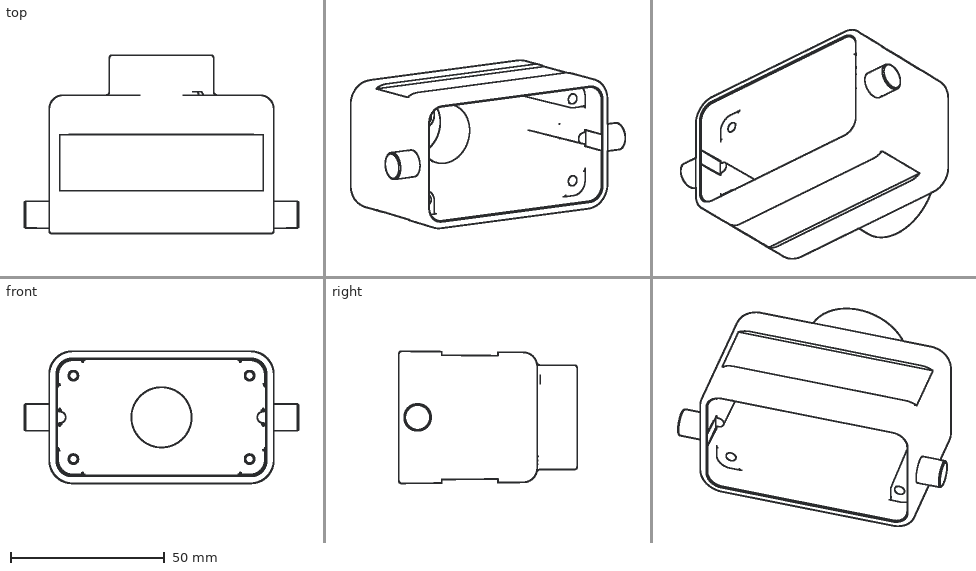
import cadquery as cq
import math



body_width = 73.0
body_height = 43.0
body_depth = 45.0
corner_radius = 7.5
body_draft = 0.5
back_edge_radius = 4.6
rim_outer_radius = 1.0

total_depth = 58.0
entry_radius = 17.0
entry_bore_radius = 9.75
entry_tip_radius = 1.0
entry_root_fillet = 1.0

pin_span = 89.0
pin_radius = 4.4
pin_depth = 6.15
pin_tip_chamfer = 0.4

label_width = 66.0
label_start = 14.0
label_end = 32.2
label_recess = 1.2

mouth_wall = 2.65
mouth_edge_chamfer = 0.35
ledge_depth = 9.3
ledge_wall = 3.0
floor_depth = 41.0
floor_wall = 3.55
floor_fillet = 0.9
inner_corner_fillet = 0.6

pick_margin = 1.0

pillar_inset = 11.0
pillar_corner_radius = 3.6
pillar_draft = 1.2
pillar_top_fillet = 0.5
screw_spacing_x = 57.2
screw_spacing_z = 27.1
screw_mouth_radius = 1.65
screw_end_radius = 1.3
screw_hole_depth = 12.0

rib_radius = 1.8
rib_center_inset = 3.6
rib_draft = 1.0
groove_width = 5.4
groove_wall = 2.6
rib_start = 9.5


def section_plane(depth):
    """Plane across the hood at the given depth, facing the cable entry."""
    return cq.Workplane(cq.Plane(origin=(0, depth, 0), xDir=(1, 0, 0), normal=(0, 1, 0)))


def rounded_prism(inset, start, end, taper):
    """Tapered block whose section follows the mouth outline moved inwards by inset."""
    outline = cq.Sketch().rect(body_width - 2 * inset, body_height - 2 * inset)
    outline = outline.vertices().fillet(corner_radius - inset)
    return section_plane(start).placeSketch(outline).extrude(end - start, taper=taper)


def wall_taper(start_wall, end_wall, length):
    return math.degrees(math.atan2(end_wall - start_wall, length))


def make_shell():
    back_height = body_height - 2 * body_depth * math.tan(math.radians(body_draft))
    front_outline = cq.Sketch().rect(body_width, body_height).vertices().fillet(corner_radius)
    back_outline = cq.Sketch().rect(body_width, back_height).vertices().fillet(corner_radius)
    back_outline = back_outline.moved(cq.Location(cq.Vector(0, 0, body_depth)))
    body = section_plane(0).placeSketch(front_outline, back_outline).loft()
    body = body.faces(">Y").edges().fillet(back_edge_radius)
    return body.faces("<Y").edges().fillet(rim_outer_radius)


def add_entry(shell):
    """Round cable entry, filleted where it meets the back of the hood."""
    entry = section_plane(floor_depth).circle(entry_radius).extrude(total_depth - floor_depth)
    entry = entry.faces(">Y").edges().fillet(entry_tip_radius)
    hood = shell.union(entry)
    reach = entry_radius + pick_margin
    low = (-reach, body_depth - pick_margin, -reach)
    high = (reach, body_depth + pick_margin, reach)
    root = cq.selectors.BoxSelector(low, high, boundingbox=True)
    return hood.edges(root).fillet(entry_root_fillet)


def make_pins():
    pins = cq.Workplane("YZ", origin=(-pin_span / 2, 0, 0)).center(pin_depth, 0)
    pins = pins.circle(pin_radius).extrude(pin_span)
    return pins.faces("<X or >X").edges().chamfer(pin_tip_chamfer)


def make_label_recess(side):
    """Shallow pocket whose floor is parallel to the drafted face."""
    length = label_end - label_start
    block = cq.Workplane().box(label_width, length, 2 * label_recess)
    block = block.translate((0, label_start + length / 2, side * body_height / 2))
    hinge = (0, 0, side * body_height / 2)
    return block.rotate(hinge, (1, 0, hinge[2]), -side * body_draft)


def make_pillar(side_x, side_z):
    """Corner pillar, wider at the floor, reaching past the corner into the shell wall."""
    size = 2 * pillar_inset
    outline = cq.Sketch().rect(size, size).vertices().fillet(pillar_corner_radius)
    taper = -pillar_draft
    pillar = section_plane(ledge_depth).placeSketch(outline)
    pillar = pillar.extrude(floor_depth - ledge_depth, taper=taper)
    pillar = pillar.faces("<Y").edges().fillet(pillar_top_fillet)
    return pillar.translate((side_x * body_width / 2, 0, side_z * body_height / 2))


def make_rib(side_x):
    rib = section_plane(rib_start).circle(rib_radius)
    rib = rib.extrude(floor_depth - rib_start, taper=-rib_draft)
    return rib.translate((side_x * (body_width / 2 - rib_center_inset), 0, 0))


def pick_zone(x, y, z, half_width, half_height):
    """Selector for the edges whose centers lie in a box around the given point."""
    low = (x - half_width, y - pick_margin, z - half_height)
    high = (x + half_width, y + pick_margin, z + half_height)
    return cq.selectors.BoxSelector(low, high)


def fillet_inner_corners(cavity):
    """Round the long corners where the pillars and ribs run into the cavity walls."""
    mid_wall = (ledge_wall + floor_wall) / 2
    mid_depth = (ledge_depth + floor_depth) / 2
    half_x = body_width / 2 - mid_wall
    half_z = body_height / 2 - mid_wall
    span_x = half_x - pick_margin
    span_z = half_z - pick_margin
    for side in (-1, 1):
        end_wall = pick_zone(side * half_x, mid_depth, 0, pick_margin, span_z)
        long_wall = pick_zone(0, mid_depth, side * half_z, span_x, pick_margin)
        for corners in (end_wall, long_wall):
            cavity = cavity.edges(corners).fillet(inner_corner_fillet)
    return cavity


def make_cavity():
    taper_mouth = wall_taper(mouth_wall, ledge_wall, ledge_depth)
    taper_deep = wall_taper(ledge_wall, floor_wall, floor_depth - ledge_depth)
    mouth = rounded_prism(mouth_wall, 0, ledge_depth, taper_mouth)
    deep = rounded_prism(ledge_wall, ledge_depth, floor_depth, taper_deep)
    for side_x in (-1, 1):
        deep = deep.cut(make_rib(side_x))
        for side_z in (-1, 1):
            deep = deep.cut(make_pillar(side_x, side_z))
    deep = fillet_inner_corners(deep)
    deep = deep.faces(">Y").edges().fillet(floor_fillet)
    edge_wall = mouth_wall - mouth_edge_chamfer
    edge = rounded_prism(edge_wall, 0, mouth_edge_chamfer, 45)
    groove = cq.Workplane().box(body_width - 2 * groove_wall, rib_start, groove_width)
    return mouth.union(deep).union(edge).union(groove.translate((0, rib_start / 2, 0)))


def make_screw_holes():
    """Blind holes that narrow slightly towards their ends."""
    taper = wall_taper(screw_end_radius, screw_mouth_radius, screw_hole_depth)
    spots = section_plane(ledge_depth).rect(screw_spacing_x, screw_spacing_z, forConstruction=True)
    return spots.vertices().circle(screw_mouth_radius).extrude(screw_hole_depth, taper=taper)


result = add_entry(make_shell()).union(make_pins())
for side in (-1, 1):
    result = result.cut(make_label_recess(side))
result = result.cut(make_cavity())
result = result.cut(make_screw_holes())
result = result.cut(section_plane(0).circle(entry_bore_radius).extrude(total_depth))